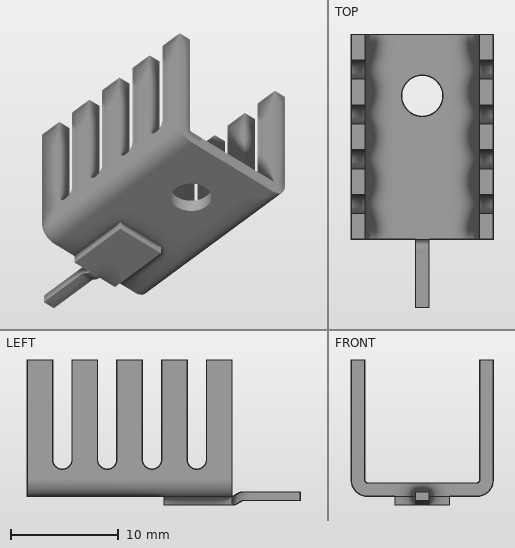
import cadquery as cq
import math

sink_width = 13.208
sink_length = 19.05
sink_height = 12.7
sheet_thickness = 1.27
sheet_inner_radius = 0.254
sheet_outer_radius = sheet_inner_radius + sheet_thickness

slot_count = 4
slot_width = 1.778
slot_bottom_z = 2.54
fin_width = (sink_length - slot_count * slot_width) / (slot_count + 1)
slot_pitch = fin_width + slot_width

hole_diameter = 3.81
hole_from_back = 5.715

tab_thickness = 0.8128
pad_width = 5.08
pad_length = 6.35
tail_width = 1.27
tail_reach = 6.35
tail_rise = 0.42
bend_angle = math.radians(30)
bend_inner_radius = 0.127
bend_outer_radius = bend_inner_radius + tab_thickness


def make_heat_sink():
    """U-shaped sheet: floor bottom at Z = 0, front edge at Y = 0."""
    inner_width = sink_width - 2 * sheet_thickness
    wall_middle_z = sink_height / 2
    outer = (
        cq.Workplane("XZ")
        .center(0, wall_middle_z)
        .rect(sink_width, sink_height)
        .extrude(-sink_length)
        .edges("|Y and <Z")
        .fillet(sheet_outer_radius)
    )
    inner = (
        cq.Workplane("XZ")
        .center(0, wall_middle_z + sheet_thickness)
        .rect(inner_width, sink_height)
        .extrude(-sink_length)
        .edges("|Y and <Z")
        .fillet(sheet_inner_radius)
    )
    sink = outer.cut(inner)
    for index in range(slot_count):
        slot_center_y = fin_width + slot_width / 2 + index * slot_pitch
        sink = sink.cut(make_slot(slot_center_y))
    return sink.cut(make_mounting_hole())


def make_slot(center_y):
    """Round-bottomed slot, open at the top, through both side walls."""
    radius = slot_width / 2
    arc_center_z = slot_bottom_z + radius
    return (
        cq.Workplane("YZ")
        .moveTo(center_y - radius, sink_height)
        .lineTo(center_y - radius, arc_center_z)
        .threePointArc((center_y, slot_bottom_z), (center_y + radius, arc_center_z))
        .lineTo(center_y + radius, sink_height)
        .close()
        .extrude(sink_width / 2, both=True)
    )


def make_mounting_hole():
    return (
        cq.Workplane("XY")
        .center(0, sink_length - hole_from_back)
        .circle(hole_diameter / 2)
        .extrude(sheet_thickness)
    )


def make_solder_tab():
    """Pad against the floor underside, joined to the bent tail."""
    pad = (
        cq.Workplane("XY")
        .center(0, pad_length / 2)
        .rect(pad_width, pad_length)
        .extrude(-tab_thickness)
    )
    return pad.union(make_tail())


def make_tail():
    """Tail that leaves the pad forward, bends up, then bends level again."""
    bend_radius_sum = bend_inner_radius + bend_outer_radius
    slope_length = (tail_rise - bend_radius_sum * (1 - math.cos(bend_angle))) / math.sin(bend_angle)
    bend_run = bend_radius_sum * math.sin(bend_angle) + slope_length * math.cos(bend_angle)

    lower_center_z = bend_inner_radius
    upper_center_y = -bend_run
    upper_center_z = tail_rise - bend_outer_radius

    def lower_bend(radius, angle):
        return (-radius * math.sin(angle), lower_center_z - radius * math.cos(angle))

    def upper_bend(radius, angle):
        return (upper_center_y + radius * math.sin(angle), upper_center_z + radius * math.cos(angle))

    half_angle = bend_angle / 2
    return (
        cq.Workplane("YZ")
        .moveTo(0, 0)
        .threePointArc(lower_bend(bend_inner_radius, half_angle), lower_bend(bend_inner_radius, bend_angle))
        .lineTo(*upper_bend(bend_outer_radius, bend_angle))
        .threePointArc(upper_bend(bend_outer_radius, half_angle), upper_bend(bend_outer_radius, 0))
        .lineTo(-tail_reach, tail_rise)
        .lineTo(-tail_reach, tail_rise - tab_thickness)
        .lineTo(*upper_bend(bend_inner_radius, 0))
        .threePointArc(upper_bend(bend_inner_radius, half_angle), upper_bend(bend_inner_radius, bend_angle))
        .lineTo(*lower_bend(bend_outer_radius, bend_angle))
        .threePointArc(lower_bend(bend_outer_radius, half_angle), lower_bend(bend_outer_radius, 0))
        .close()
        .extrude(tail_width / 2, both=True)
    )


heat_sink = make_heat_sink()
solder_tab = make_solder_tab()

result = cq.Compound.makeCompound([heat_sink.val(), solder_tab.val()])